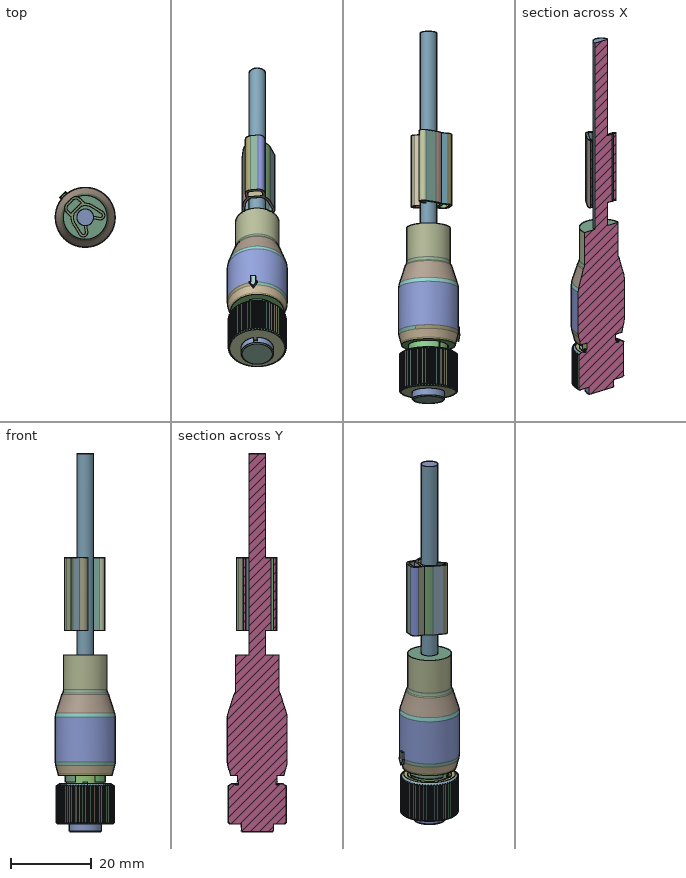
import cadquery as cq
import math

total_height = 94.0
total_width = 14.9
key_direction = 135.0

nose_radius = 4.0
nose_top = 2.0
nose_chamfer = 0.3
keyway_width = 0.9
keyway_depth = 1.0
keyway_bottom = 0.8

nut_radius = 7.2
nut_top = 12.0
nut_lower_chamfer = 0.4
nut_upper_chamfer = 0.6
nut_rim_radius = 6.4
knurl_count = 60
knurl_depth = 0.3
knurl_crest_share = 0.4
nut_recess_radius = 5.45
nut_recess_depth = 0.3

neck_radius = 4.7
ring_overlap = 0.1
pad_radius = 5.0
pad_bottom = 12.4
pad_gap_width = 4.9
nub_width = 1.1

grip_bottom = 14.0
grip_foot_radius = 6.7
grip_foot_chamfer_radius = 6.8
grip_foot_chamfer_top = 14.4
grip_radius = total_width / 2
lower_cone_top = 16.9
upper_cone_bottom = 29.0
upper_cone_top = 34.2
upper_cone_radius = 5.8
grip_edge_blend = 3.4
sleeve_radius = 5.45
sleeve_flare_radius = 5.6
sleeve_flare_bottom = 34.5
sleeve_flare_top = 35.3
sleeve_top = 44.0

arrow_face = 8.0
arrow_root = 6.4
arrow_top = 19.2
arrow_head_top = 17.3
arrow_tip = 15.7
arrow_shaft_width = 1.2
arrow_head_width = 2.1

cable_radius = 2.1

clip_bottom = 50.0
clip_top = 68.15
clip_wall = 0.61
saddle_radius = 2.9
saddle_half_angle = 77.0
partition_start = 2.6
arm_length = 2.9
hook_radius = 0.52
hook_turn = 158.0
hook_tip_length = 1.7
pocket_outer = 5.7
pocket_width = 4.9
pocket_corner_radius = 1.5


def ring(outer, inner, bottom, top):
    return cq.Workplane("XY").workplane(offset=bottom).circle(outer).circle(inner).extrude(top - bottom)


def cylinder(radius, bottom, top):
    return cq.Workplane("XY").workplane(offset=bottom).circle(radius).extrude(top - bottom)


def block(x_start, x_end, width, bottom, top):
    """Box centred on the XZ plane."""
    box = cq.Workplane("XY").box(x_end - x_start, width, top - bottom, centered=(False, True, False))
    return box.translate((x_start, 0, bottom))


def face_key_direction(shape):
    """Turn a feature built along +X to the key direction."""
    return shape.rotate((0, 0, 0), (0, 0, 1), key_direction)


def polar(centre, radius, angle):
    angle = math.radians(angle)
    return (centre[0] + radius * math.cos(angle), centre[1] + radius * math.sin(angle))


def make_nose():
    nose = cylinder(nose_radius, 0, nose_top).faces("<Z").chamfer(nose_chamfer)
    keyway = block(nose_radius - keyway_depth, 2 * nose_radius, keyway_width, keyway_bottom, nose_top)
    return nose.cut(face_key_direction(keyway))


def make_nut():
    blank = (
        cq.Workplane("XZ")
        .moveTo(0, nose_top)
        .lineTo(nut_radius - nut_lower_chamfer, nose_top)
        .lineTo(nut_radius, nose_top + nut_lower_chamfer)
        .lineTo(nut_radius, nut_top - nut_upper_chamfer)
        .lineTo(nut_rim_radius, nut_top)
        .lineTo(0, nut_top)
        .close()
        .revolve(360, (0, 0, 0), (0, 1, 0))
    )
    pitch = 360 / knurl_count
    outline = []
    for index in range(knurl_count):
        start = index * pitch
        crest_end = start + knurl_crest_share * pitch
        valley = (crest_end + start + pitch) / 2
        outline.append(polar((0, 0), nut_radius, start))
        outline.append(polar((0, 0), nut_radius, crest_end))
        outline.append(polar((0, 0), nut_radius - knurl_depth, valley))
    knurl = cq.Workplane("XY").polyline(outline).close().extrude(nut_top)
    recess = ring(nut_recess_radius, neck_radius, nut_top - nut_recess_depth, nut_top)
    return blank.intersect(knurl).cut(recess)


def make_neck():
    """Round core, two large pads on the X sides and two small nubs on the Y sides."""
    core = cylinder(neck_radius, nose_top, grip_bottom)
    pads = ring(pad_radius, neck_radius - ring_overlap, pad_bottom, grip_bottom)
    pads = pads.cut(block(-pad_gap_width / 2, pad_gap_width / 2, 3 * pad_radius, pad_bottom, grip_bottom))
    nubs = ring(pad_radius, neck_radius - ring_overlap, nut_top - nut_recess_depth, pad_bottom)
    nubs = nubs.intersect(block(-nub_width / 2, nub_width / 2, 3 * pad_radius, nose_top, grip_bottom))
    return core.union(pads).union(nubs)


def make_grip():
    body = (
        cq.Workplane("XZ")
        .moveTo(0, sleeve_top)
        .lineTo(sleeve_radius, sleeve_top)
        .lineTo(sleeve_radius, sleeve_flare_top)
        .tangentArcPoint((sleeve_flare_radius, sleeve_flare_bottom), relative=False)
        .lineTo(upper_cone_radius, upper_cone_top)
        .lineTo(grip_radius, upper_cone_bottom)
        .lineTo(grip_radius, lower_cone_top)
        .lineTo(grip_foot_chamfer_radius, grip_foot_chamfer_top)
        .lineTo(grip_foot_radius, grip_bottom)
        .lineTo(0, grip_bottom)
        .close()
        .revolve(360, (0, 0, 0), (0, 1, 0))
    )
    reach = 2 * grip_radius
    margin = 0.1
    widest_part = cq.selectors.BoxSelector(
        (-reach, -reach, lower_cone_top - margin),
        (reach, reach, upper_cone_bottom + margin),
        boundingbox=True,
    )
    return body.edges("%CIRCLE").edges(widest_part).fillet(grip_edge_blend)


def make_arrow():
    shaft = arrow_shaft_width / 2
    head = arrow_head_width / 2
    outline = [
        (-shaft, arrow_top),
        (shaft, arrow_top),
        (shaft, arrow_head_top),
        (head, arrow_head_top),
        (0, arrow_tip),
        (-head, arrow_head_top),
        (-shaft, arrow_head_top),
    ]
    arrow = cq.Workplane("YZ").workplane(offset=arrow_root).polyline(outline).close()
    return face_key_direction(arrow.extrude(arrow_face - arrow_root))


def make_clip_arm():
    """Half of the saddle, a straight arm and a hook that turns back to the cable."""
    axis = (0, 0)
    saddle_outer = saddle_radius + clip_wall
    hook_outer = hook_radius + clip_wall
    arm_heading = saddle_half_angle + 90
    hook_end = saddle_half_angle + hook_turn
    tip_heading = hook_end + 90

    hook_centre = polar(axis, saddle_radius - hook_radius, saddle_half_angle)
    hook_centre = polar(hook_centre, arm_length, arm_heading)
    tip_inner = polar(polar(hook_centre, hook_radius, hook_end), hook_tip_length, tip_heading)
    tip_outer = polar(polar(hook_centre, hook_outer, hook_end), hook_tip_length, tip_heading)
    mid_saddle = saddle_half_angle / 2
    mid_hook = saddle_half_angle + hook_turn / 2

    return (
        cq.Workplane("XY")
        .workplane(offset=clip_bottom)
        .moveTo(saddle_outer, 0)
        .threePointArc(polar(axis, saddle_outer, mid_saddle), polar(axis, saddle_outer, saddle_half_angle))
        .lineTo(*polar(hook_centre, hook_outer, saddle_half_angle))
        .threePointArc(polar(hook_centre, hook_outer, mid_hook), polar(hook_centre, hook_outer, hook_end))
        .lineTo(*tip_outer)
        .lineTo(*tip_inner)
        .lineTo(*polar(hook_centre, hook_radius, hook_end))
        .threePointArc(
            polar(hook_centre, hook_radius, mid_hook),
            polar(hook_centre, hook_radius, saddle_half_angle),
        )
        .lineTo(*polar(axis, saddle_radius, saddle_half_angle))
        .threePointArc(polar(axis, saddle_radius, mid_saddle), (saddle_radius, 0))
        .close()
        .extrude(clip_top - clip_bottom)
    )


def make_clip():
    arm = make_clip_arm()
    pocket = block(partition_start, pocket_outer, pocket_width, clip_bottom, clip_top)
    pocket = pocket.edges("|Z and >X").fillet(pocket_corner_radius)
    cavity = block(
        partition_start + clip_wall,
        pocket_outer - clip_wall,
        pocket_width - 2 * clip_wall,
        clip_bottom,
        clip_top,
    )
    cavity = cavity.edges("|Z and >X").fillet(pocket_corner_radius - clip_wall)
    clip = arm.union(arm.mirror("XZ")).union(pocket).cut(cavity)
    return face_key_direction(clip)


cable = cylinder(cable_radius, sleeve_top, total_height)

result = (
    make_neck()
    .union(make_nose())
    .union(make_nut())
    .union(make_grip())
    .union(make_arrow())
    .union(cable)
    .union(make_clip())
)